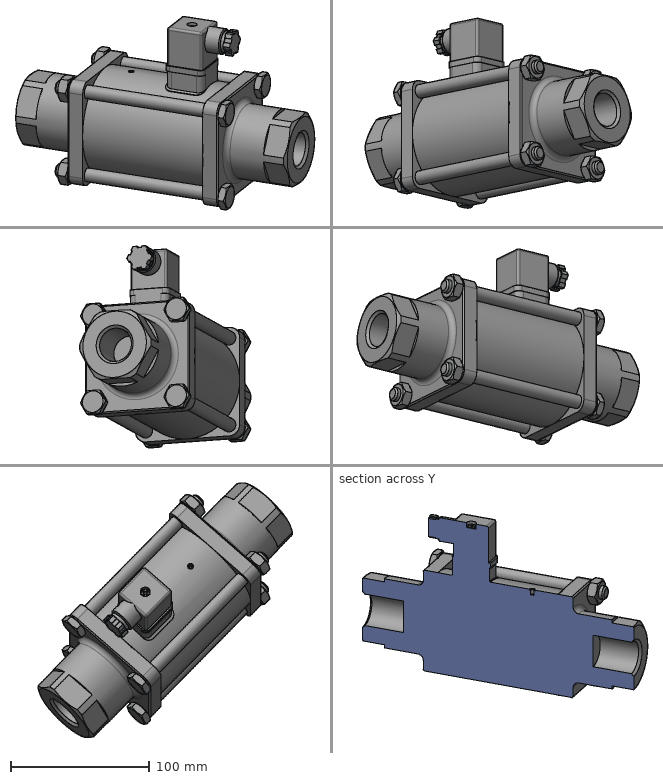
import cadquery as cq
import math

LENGTH = 215.0
BODY_DIAMETER = 80.0
END_X = LENGTH / 2

HEX_SIDES = 6
HEX_FLATS_PER_CORNERS = math.cos(math.pi / HEX_SIDES)

PLATE_SIDE = BODY_DIAMETER
PLATE_THICKNESS = 12.0
PLATE_OUTER_X = 59.5
PLATE_INNER_X = PLATE_OUTER_X - PLATE_THICKNESS
PLATE_CORNER_RADIUS = 7.7
PLATE_EDGE_CHAMFER = 1.0

PORT_DIAMETER = 55.0
PORT_ROOT_FILLET = 4.0
PORT_HEX_FLATS = 50.0
PORT_HEX_LENGTH = 17.5
PORT_FACE_DIAMETER = 48.8
PORT_CHAMFER_LENGTH = 1.7
BORE_DIAMETER = 24.5
BORE_MOUTH_DIAMETER = 28.4
BORE_MOUTH_DEPTH = 2.0
BORE_DEPTH = 32.2

ROD_DIAMETER = 10.0
ROD_OFFSET = 32.0
ROD_END_X = -71.2
ROD_TIP_CHAMFER = 1.3
NUT_FLATS = 17.0
NUT_CORNERS = NUT_FLATS / HEX_FLATS_PER_CORNERS
NUT_THICKNESS = 7.7
HEAD_THICKNESS = 6.0
NUT_FACE_DIAMETER = 16.0
NUT_CHAMFER_LENGTH = 1.0

CONNECTOR_X = 21.3
SEAT_RISE = 0.5
SEAT_WIDTH = 34.5
SEAT_CORNER_RADIUS = 5.5
FLANGE_SIDE = 30.5
FLANGE_CORNER_RADIUS = 4.0
FLANGE_BOTTOM_Z = 50.5
FLANGE_TOP_Z = 54.8
BASE_LENGTH = 29.9
BASE_WIDTH = 30.0
BASE_X = CONNECTOR_X + (FLANGE_SIDE - BASE_LENGTH) / 2
BASE_CORNER_RADIUS = 5.0
HOUSING_SIDE = 28.0
HOUSING_X = 21.5
HOUSING_TOP_Z = 83.6
HOUSING_EDGE_RADIUS = 1.7
SCREW_HOLE_DIAMETER = 7.0
SCREW_HOLE_DEPTH = 3.9
SCREW_HEAD_DIAMETER = 6.0
SCREW_HEAD_HEIGHT = 1.7
SCREW_CROSS_LENGTH = 5.2
SCREW_CROSS_WIDTH = 1.0

CABLE_DIAMETER = 19.0
CABLE_Z = HOUSING_TOP_Z - CABLE_DIAMETER / 2
CABLE_END_X = 47.3
CABLE_EDGE_CHAMFER = 0.9
NECK_DIAMETER = 16.0
GLAND_START_X = 49.9
GLAND_END_X = 55.3
GLAND_CORNERS = 19.4
GLAND_FLATS = GLAND_CORNERS * HEX_FLATS_PER_CORNERS
GLAND_GROOVE_WIDTH = 3.2
GLAND_GROOVE_DEPTH = 1.0

VENT_X = -26.9
VENT_DIAMETER = 2.5
VENT_DEPTH = 4.3
VENT_SINK_DIAMETER = 4.0
VENT_SINK_DEPTH = 0.9


def section(x):
    """Workplane across the valve axis: local x is Y, local y is Z, normal is +X."""
    return cq.Workplane("YZ", origin=(x, 0, 0))


def round_bar(diameter, x_start, x_end, y=0, z=0):
    return section(x_start).center(y, z).circle(diameter / 2).extrude(x_end - x_start)


def rounded_block(x_size, y_size, radius, x, z_start, z_end):
    block = cq.Workplane("XY", origin=(x, 0, z_start)).rect(x_size, y_size).extrude(z_end - z_start)
    return block.edges("|Z").fillet(radius)


def turned(half_profile, y=0, z=0):
    """Revolve (x, radius) points about X, then move the axis to the given y and z."""
    solid = cq.Workplane("XY").polyline(half_profile).close().revolve(360, (0, 0), (1, 0))
    return solid.translate((0, y, z))


def end_plate():
    plate = section(PLATE_INNER_X).rect(PLATE_SIDE, PLATE_SIDE).extrude(PLATE_THICKNESS)
    plate = plate.edges("|X").fillet(PLATE_CORNER_RADIUS)
    return plate.faces(">X").chamfer(PLATE_EDGE_CHAMFER)


def port():
    radius = PORT_DIAMETER / 2
    root_radius = radius + PORT_ROOT_FILLET
    fillet_mid = PORT_ROOT_FILLET * (1 - math.sqrt(0.5))
    neck = (
        cq.Workplane("XY")
        .moveTo(PLATE_INNER_X, 0)
        .lineTo(PLATE_INNER_X, root_radius)
        .lineTo(PLATE_OUTER_X, root_radius)
        .threePointArc(
            (PLATE_OUTER_X + fillet_mid, radius + fillet_mid),
            (PLATE_OUTER_X + PORT_ROOT_FILLET, radius),
        )
        .lineTo(END_X - PORT_CHAMFER_LENGTH, radius)
        .lineTo(END_X, PORT_FACE_DIAMETER / 2)
        .lineTo(END_X, 0)
        .close()
        .revolve(360, (0, 0), (1, 0))
    )
    hex_corners = PORT_HEX_FLATS / HEX_FLATS_PER_CORNERS
    spanner_cut = (
        section(END_X - PORT_HEX_LENGTH)
        .circle(PORT_DIAMETER)
        .polygon(HEX_SIDES, hex_corners)
        .extrude(PORT_HEX_LENGTH)
    )
    return neck.cut(spanner_cut)


def bore():
    radius = BORE_DIAMETER / 2
    floor_x = END_X - BORE_DEPTH
    return turned(
        [
            (floor_x, 0),
            (floor_x, radius),
            (END_X - BORE_MOUTH_DEPTH, radius),
            (END_X, BORE_MOUTH_DIAMETER / 2),
            (END_X, 0),
        ]
    )


def chamfered_hex(x_inner, x_outer, y, z):
    """Hexagon with flats facing up and down, its corners bevelled at the outer and inner faces."""
    prism = section(min(x_inner, x_outer)).center(y, z).polygon(HEX_SIDES, NUT_CORNERS)
    prism = prism.extrude(abs(x_outer - x_inner))
    bevel = math.copysign(NUT_CHAMFER_LENGTH, x_outer - x_inner)
    face_radius = NUT_FACE_DIAMETER / 2
    corner_radius = NUT_CORNERS / 2
    envelope = turned(
        [
            (x_inner, 0),
            (x_inner, face_radius),
            (x_inner + bevel, corner_radius),
            (x_outer - bevel, corner_radius),
            (x_outer, face_radius),
            (x_outer, 0),
        ],
        y,
        z,
    )
    return prism.intersect(envelope)


def tie_rod(y, z):
    rod = round_bar(ROD_DIAMETER, ROD_END_X, PLATE_OUTER_X, y, z)
    rod = rod.faces("<X").chamfer(ROD_TIP_CHAMFER)
    nut = chamfered_hex(-PLATE_OUTER_X, -PLATE_OUTER_X - NUT_THICKNESS, y, z)
    head = chamfered_hex(PLATE_OUTER_X, PLATE_OUTER_X + HEAD_THICKNESS, y, z)
    return rod.union(nut).union(head)


def connector_seat():
    """Thin pad that follows the round body under the connector."""
    pad = rounded_block(FLANGE_SIDE, SEAT_WIDTH, SEAT_CORNER_RADIUS, CONNECTOR_X, 0, BODY_DIAMETER)
    shell = round_bar(BODY_DIAMETER + 2 * SEAT_RISE, 0, PLATE_INNER_X)
    return pad.intersect(shell)


def connector_housing():
    base = rounded_block(BASE_LENGTH, BASE_WIDTH, BASE_CORNER_RADIUS, BASE_X, 0, FLANGE_BOTTOM_Z)
    flange = rounded_block(
        FLANGE_SIDE, FLANGE_SIDE, FLANGE_CORNER_RADIUS, CONNECTOR_X, FLANGE_BOTTOM_Z, FLANGE_TOP_Z
    )
    housing = rounded_block(
        HOUSING_SIDE, HOUSING_SIDE, HOUSING_EDGE_RADIUS, HOUSING_X, FLANGE_TOP_Z, HOUSING_TOP_Z
    )
    housing = housing.faces(">Z").edges().fillet(HOUSING_EDGE_RADIUS)
    return base.union(flange).union(housing)


def gland_nut():
    nut = (
        section(GLAND_START_X)
        .center(0, CABLE_Z)
        .polygon(HEX_SIDES, GLAND_CORNERS)
        .extrude(GLAND_END_X - GLAND_START_X)
    )
    grooves = (
        section(GLAND_START_X)
        .center(0, CABLE_Z)
        .polarArray(GLAND_FLATS / 2, 180 / HEX_SIDES, 360, HEX_SIDES)
        .rect(2 * GLAND_GROOVE_DEPTH, GLAND_GROOVE_WIDTH)
        .extrude(GLAND_END_X - GLAND_START_X)
    )
    return nut.cut(grooves)


def cable_outlet():
    barrel = round_bar(CABLE_DIAMETER, CONNECTOR_X, CABLE_END_X, z=CABLE_Z)
    barrel = barrel.faces(">X").chamfer(CABLE_EDGE_CHAMFER)
    neck = round_bar(NECK_DIAMETER, CONNECTOR_X, GLAND_START_X, z=CABLE_Z)
    return barrel.union(neck).union(gland_nut())


def screw_hole():
    top = cq.Workplane("XY", origin=(CONNECTOR_X, 0, HOUSING_TOP_Z))
    return top.circle(SCREW_HOLE_DIAMETER / 2).extrude(-SCREW_HOLE_DEPTH)


def screw_head():
    floor = cq.Workplane("XY", origin=(CONNECTOR_X, 0, HOUSING_TOP_Z - SCREW_HOLE_DEPTH))
    head = floor.circle(SCREW_HEAD_DIAMETER / 2).extrude(SCREW_HEAD_HEIGHT)
    for slot_x, slot_y in (
        (SCREW_CROSS_LENGTH, SCREW_CROSS_WIDTH),
        (SCREW_CROSS_WIDTH, SCREW_CROSS_LENGTH),
    ):
        head = head.cut(floor.rect(slot_x, slot_y).extrude(SCREW_HEAD_HEIGHT))
    return head


def vent():
    top = cq.Workplane("XY", origin=(VENT_X, 0, BODY_DIAMETER / 2))
    hole = top.circle(VENT_DIAMETER / 2).extrude(-VENT_DEPTH)
    return hole.union(top.circle(VENT_SINK_DIAMETER / 2).extrude(-VENT_SINK_DEPTH))


result = round_bar(BODY_DIAMETER, -PLATE_INNER_X, PLATE_INNER_X)

right_end = end_plate().union(port()).cut(bore())
result = result.union(right_end).union(right_end.mirror("YZ"))

for rod_y in (-ROD_OFFSET, ROD_OFFSET):
    for rod_z in (-ROD_OFFSET, ROD_OFFSET):
        result = result.union(tie_rod(rod_y, rod_z))

result = result.union(connector_seat()).union(connector_housing()).union(cable_outlet())
result = result.cut(screw_hole()).union(screw_head()).cut(vent())